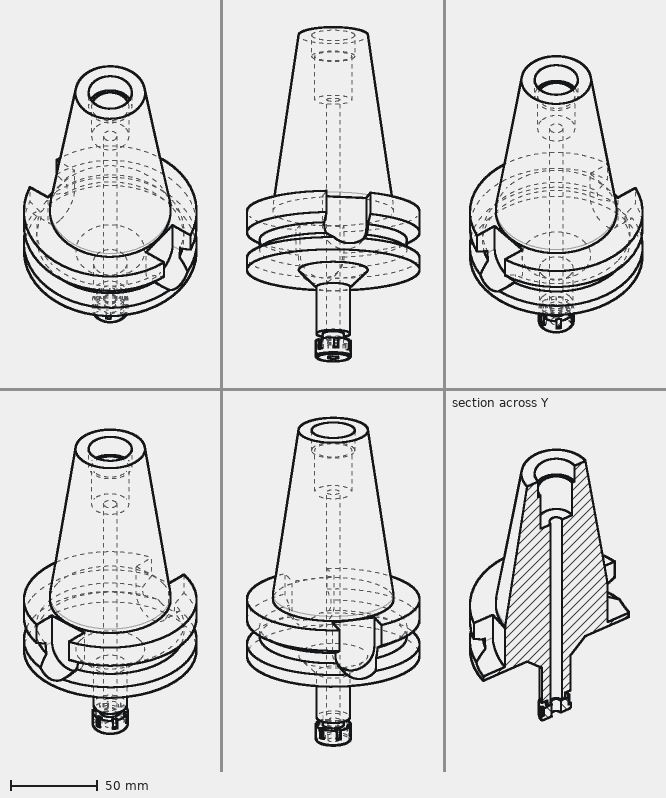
import cadquery as cq

TOTAL_HEIGHT = 191.8
GAUGE_Z = 90.0
FLANGE_TOP_Z = 87.0
GROOVE_UPPER_RIM_Z = 74.5
GROOVE_UPPER_ROOT_Z = 70.2
GROOVE_LOWER_ROOT_Z = 63.9
GROOVE_LOWER_RIM_Z = 59.5
FLANGE_BOTTOM_Z = 52.2
STEM_TOP_Z = 42.0
STEM_BOTTOM_Z = 14.2
NUT_HEIGHT = 9.5

TAPER_TOP_RADIUS = 20.1
GAUGE_RADIUS = 35.0
FLANGE_DIAMETER = 100.0
FLANGE_RADIUS = FLANGE_DIAMETER / 2
GROOVE_RADIUS = 42.5
STEM_RADIUS = 9.8
SHOULDER_RADIUS = STEM_RADIUS + FLANGE_BOTTOM_Z - STEM_TOP_Z
NECK_RADIUS = 6.1

ENTRY_BORE_RADIUS = 12.5
ENTRY_BORE_DEPTH = 12.5
THREAD_BORE_RADIUS = 10.7
THREAD_BORE_DEPTH = 38.4
THROUGH_RADIUS = 3.8

KEYWAY_WIDTH = 25.7
KEYWAY_FLOOR_X = 35.3
KEYWAY_BOTTOM_Z = 56.0

NUT_RADIUS = 10.2
NUT_HOLE_RADIUS = 3.0
NUT_CHAMFER = 0.8
NUT_SLOT_COUNT = 6
NUT_SLOT_WIDTH = 2.7
NUT_SLOT_BOTTOM_Z = 3.8
NUT_SLOT_FLOOR_RADIUS = 8.5


def holder_blank():
    """Solid of revolution: neck, stem, shoulder, grooved flange and taper."""
    profile = [
        (0, NUT_HEIGHT),
        (NECK_RADIUS, NUT_HEIGHT),
        (NECK_RADIUS, STEM_BOTTOM_Z),
        (STEM_RADIUS, STEM_BOTTOM_Z),
        (STEM_RADIUS, STEM_TOP_Z),
        (SHOULDER_RADIUS, FLANGE_BOTTOM_Z),
        (FLANGE_RADIUS, FLANGE_BOTTOM_Z),
        (FLANGE_RADIUS, GROOVE_LOWER_RIM_Z),
        (GROOVE_RADIUS, GROOVE_LOWER_ROOT_Z),
        (GROOVE_RADIUS, GROOVE_UPPER_ROOT_Z),
        (FLANGE_RADIUS, GROOVE_UPPER_RIM_Z),
        (FLANGE_RADIUS, FLANGE_TOP_Z),
        (GAUGE_RADIUS, FLANGE_TOP_Z),
        (GAUGE_RADIUS, GAUGE_Z),
        (TAPER_TOP_RADIUS, TOTAL_HEIGHT),
        (0, TOTAL_HEIGHT),
    ]
    return cq.Workplane("XZ").polyline(profile).close().revolve(360, (0, 0), (0, 1))


def bore_cutter():
    """Stepped bore: wide entry, thread bore and a narrow through hole."""
    top = cq.Workplane("XY").workplane(offset=TOTAL_HEIGHT)
    entry = top.circle(ENTRY_BORE_RADIUS).extrude(-ENTRY_BORE_DEPTH)
    thread = top.circle(THREAD_BORE_RADIUS).extrude(-THREAD_BORE_DEPTH)
    through = top.circle(THROUGH_RADIUS).extrude(-TOTAL_HEIGHT)
    return entry.union(thread).union(through)


def keyway_cutter(side):
    """Round-bottomed keyway, open at the flange top; side is -1 or +1 along X."""
    half_width = KEYWAY_WIDTH / 2
    arc_center_z = KEYWAY_BOTTOM_Z + half_width
    return (
        cq.Workplane("YZ")
        .workplane(offset=side * KEYWAY_FLOOR_X)
        .moveTo(-half_width, FLANGE_TOP_Z)
        .lineTo(-half_width, arc_center_z)
        .threePointArc((0, KEYWAY_BOTTOM_Z), (half_width, arc_center_z))
        .lineTo(half_width, FLANGE_TOP_Z)
        .close()
        .extrude(side * (FLANGE_RADIUS - KEYWAY_FLOOR_X))
    )


def make_holder():
    body = holder_blank().cut(bore_cutter())
    for side in (-1, 1):
        body = body.cut(keyway_cutter(side))
    return body


def make_nut():
    """Round nut with a chamfered lower rim and wrench slots open at the top."""
    body = cq.Workplane("XY").circle(NUT_RADIUS).extrude(NUT_HEIGHT)
    body = body.faces("<Z").chamfer(NUT_CHAMFER)
    body = body.cut(cq.Workplane("XY").circle(NUT_HOLE_RADIUS).extrude(NUT_HEIGHT))
    slot = cq.Workplane("XY").box(
        NUT_RADIUS - NUT_SLOT_FLOOR_RADIUS,
        NUT_SLOT_WIDTH,
        NUT_HEIGHT - NUT_SLOT_BOTTOM_Z,
        centered=(False, True, False),
    ).translate((NUT_SLOT_FLOOR_RADIUS, 0, NUT_SLOT_BOTTOM_Z))
    for index in range(NUT_SLOT_COUNT):
        angle = index * 360 / NUT_SLOT_COUNT
        body = body.cut(slot.rotate((0, 0, 0), (0, 0, 1), angle))
    return body


holder = make_holder()
nut = make_nut()
result = cq.Compound.makeCompound([holder.val(), nut.val()])